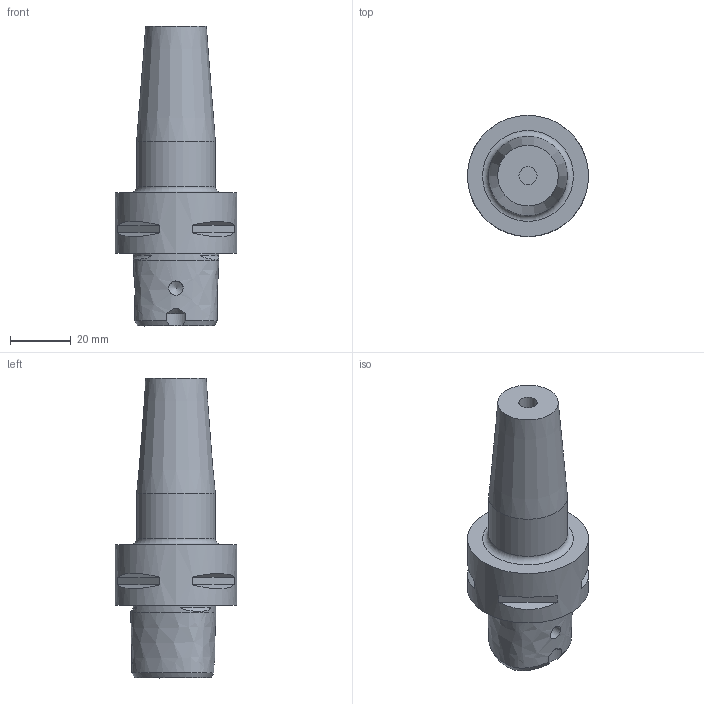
import math

import cadquery as cq


FLANGE_DIAMETER = 40.0
FLANGE_HEIGHT = 20.0
GRIPPER_HEIGHT = 8.0
GRIPPER_DEPTH = 2.5
GRIPPER_FLOOR_WIDTH = 2.6
GRIPPER_FLANK_ANGLE = 26.0
GRIPPER_COUNT = 4
GRIPPER_START_ANGLE = 45.0

BODY_LENGTH = 55.0
BODY_DIAMETER = 26.0
NOSE_DIAMETER = 20.0
NOSE_LENGTH = 38.0
ROOT_FILLET = 2.0
BORE_DIAMETER = 6.0
BORE_DEPTH = 36.0

SHANK_LENGTH = 24.0
SHANK_MEAN_RADIUS = 14.1
LOBE_HEIGHT = 0.95
LOBE_COUNT = 3
LOBE_ANGLE = 90.0
STRAIGHT_LENGTH = 2.4
SHANK_TAPER = 1 / 40
CHAMFER_HEIGHT = 1.75
CHAMFER_WIDTH = 0.9

RELIEF_RADIUS = 14.1
RELIEF_STRAIGHT = 0.6
RELIEF_ARC_RADIUS = 1.5

SIDE_HOLE_DIAMETER = 4.7
SIDE_HOLE_DROP = 11.5
SIDE_HOLE_DEPTH = 4.0
DRILL_TIP_ANGLE = 118.0

NOTCH_RADIUS = 4.0
NOTCH_AXIS_OFFSET = 2.4
NOTCH_HEIGHT = 4.1
NOTCH_ROOF_ANGLE = 45.0

CLEARANCE = 2.0

CURVE_POINTS = 72

FLANGE_RADIUS = FLANGE_DIAMETER / 2
TOP_Z = FLANGE_HEIGHT + BODY_LENGTH
CHAMFER_Z = CHAMFER_HEIGHT - SHANK_LENGTH
FULL_TAPER_LOSS = SHANK_TAPER * (SHANK_LENGTH - CHAMFER_HEIGHT - STRAIGHT_LENGTH)
SHANK_END_RADIUS = SHANK_MEAN_RADIUS - FULL_TAPER_LOSS
FLAT_END_RADIUS = SHANK_END_RADIUS - LOBE_HEIGHT


def make_flange_and_body():
    """Revolve the flange, root fillet, cylinder and tapered nose."""
    body_radius = BODY_DIAMETER / 2
    root_radius = body_radius + ROOT_FILLET
    fillet_middle = ROOT_FILLET * (1 - math.sqrt(0.5))
    return (
        cq.Workplane("XZ")
        .lineTo(FLANGE_RADIUS, 0)
        .lineTo(FLANGE_RADIUS, FLANGE_HEIGHT)
        .lineTo(root_radius, FLANGE_HEIGHT)
        .threePointArc(
            (body_radius + fillet_middle, FLANGE_HEIGHT + fillet_middle),
            (body_radius, FLANGE_HEIGHT + ROOT_FILLET),
        )
        .lineTo(body_radius, TOP_Z - NOSE_LENGTH)
        .lineTo(NOSE_DIAMETER / 2, TOP_Z)
        .lineTo(0, TOP_Z)
        .close()
        .revolve(360, (0, 0), (0, 1))
    )


def make_bore():
    return (
        cq.Workplane("XY", origin=(0, 0, TOP_Z - BORE_DEPTH))
        .circle(BORE_DIAMETER / 2)
        .extrude(BORE_DEPTH + CLEARANCE)
    )


def make_gripper_groove(angle):
    """Straight trapezoidal groove across the flange rim, facing the given angle."""
    spread = math.tan(math.radians(GRIPPER_FLANK_ANGLE))
    floor_radius = FLANGE_RADIUS - GRIPPER_DEPTH
    outer_radius = FLANGE_RADIUS + CLEARANCE
    floor_half = GRIPPER_FLOOR_WIDTH / 2
    outer_half = floor_half + spread * (outer_radius - floor_radius)
    return (
        cq.Workplane("XZ")
        .moveTo(floor_radius, GRIPPER_HEIGHT - floor_half)
        .lineTo(outer_radius, GRIPPER_HEIGHT - outer_half)
        .lineTo(outer_radius, GRIPPER_HEIGHT + outer_half)
        .lineTo(floor_radius, GRIPPER_HEIGHT + floor_half)
        .close()
        .extrude(FLANGE_RADIUS, both=True)
        .rotate((0, 0, 0), (0, 0, 1), angle)
    )


def lobed_wire(mean_radius, z):
    """Closed constant-width curve with three lobes, at height z.

    The distance from the axis to the tangent line facing angle a is
    mean_radius + LOBE_HEIGHT * cos(LOBE_COUNT * (a - LOBE_ANGLE)).
    """

    def point(t):
        angle = 2 * math.pi * t - math.pi / 2
        phase = LOBE_COUNT * (angle - math.radians(LOBE_ANGLE))
        reach = mean_radius + LOBE_HEIGHT * math.cos(phase)
        shift = -LOBE_COUNT * LOBE_HEIGHT * math.sin(phase)
        return (
            reach * math.cos(angle) - shift * math.sin(angle),
            reach * math.sin(angle) + shift * math.cos(angle),
            z,
        )

    return cq.Workplane("XY").parametricCurve(point, N=CURVE_POINTS).val()


def lobed_section(lower_radius, lower_z, upper_radius, upper_z):
    wires = [lobed_wire(lower_radius, lower_z), lobed_wire(upper_radius, upper_z)]
    return cq.Workplane(obj=cq.Solid.makeLoft(wires, True))


def make_shank():
    """Stack the straight band, the taper and the end chamfer."""
    straight = lobed_section(SHANK_MEAN_RADIUS, -STRAIGHT_LENGTH, SHANK_MEAN_RADIUS, 0)
    taper = lobed_section(SHANK_END_RADIUS, CHAMFER_Z, SHANK_MEAN_RADIUS, -STRAIGHT_LENGTH)
    chamfer_radius = SHANK_END_RADIUS - CHAMFER_WIDTH
    chamfer = lobed_section(chamfer_radius, -SHANK_LENGTH, SHANK_END_RADIUS, CHAMFER_Z)
    return straight.union(taper).union(chamfer)


def make_lobe_relief():
    """Ring that trims the lobes to a cylinder blending outward in an arc."""
    arc_middle = math.sqrt(0.5) * RELIEF_ARC_RADIUS
    arc_center_radius = RELIEF_RADIUS + RELIEF_ARC_RADIUS
    arc_end_z = -RELIEF_STRAIGHT - RELIEF_ARC_RADIUS
    return (
        cq.Workplane("XZ")
        .moveTo(RELIEF_RADIUS, 0)
        .lineTo(RELIEF_RADIUS, -RELIEF_STRAIGHT)
        .threePointArc(
            (arc_center_radius - arc_middle, -RELIEF_STRAIGHT - arc_middle),
            (arc_center_radius, arc_end_z),
        )
        .lineTo(FLANGE_RADIUS, arc_end_z)
        .lineTo(FLANGE_RADIUS, 0)
        .close()
        .revolve(360, (0, 0), (0, 1))
    )


def make_side_hole():
    """Blind hole drilled along +Y, with a conical end."""
    radius = SIDE_HOLE_DIAMETER / 2
    tip_length = radius / math.tan(math.radians(DRILL_TIP_ANGLE / 2))
    taper_loss = SHANK_TAPER * (SIDE_HOLE_DROP - STRAIGHT_LENGTH)
    flat_radius = SHANK_MEAN_RADIUS - LOBE_HEIGHT - taper_loss
    shoulder_y = SIDE_HOLE_DEPTH - flat_radius
    return (
        cq.Workplane("XY")
        .moveTo(0, -FLANGE_RADIUS)
        .lineTo(radius, -FLANGE_RADIUS)
        .lineTo(radius, shoulder_y)
        .lineTo(0, shoulder_y + tip_length)
        .close()
        .revolve(360, (0, 0), (0, 1))
        .translate((0, 0, -SIDE_HOLE_DROP))
    )


def make_notch():
    """Vertical cylinder with a conical roof, breaking out of the -Y flat."""
    axis_y = -FLAT_END_RADIUS - NOTCH_AXIS_OFFSET
    roof_rise = NOTCH_RADIUS * math.tan(math.radians(NOTCH_ROOF_ANGLE))
    return (
        cq.Workplane("XZ")
        .moveTo(0, -CLEARANCE)
        .lineTo(NOTCH_RADIUS, -CLEARANCE)
        .lineTo(NOTCH_RADIUS, NOTCH_HEIGHT)
        .lineTo(0, NOTCH_HEIGHT + roof_rise)
        .close()
        .revolve(360, (0, 0), (0, 1))
        .translate((0, axis_y, -SHANK_LENGTH))
    )


holder = make_flange_and_body().cut(make_bore())
for index in range(GRIPPER_COUNT):
    groove_angle = GRIPPER_START_ANGLE + index * 360 / GRIPPER_COUNT
    holder = holder.cut(make_gripper_groove(groove_angle))

shank = make_shank().cut(make_lobe_relief()).cut(make_side_hole()).cut(make_notch())

result = holder.union(shank)